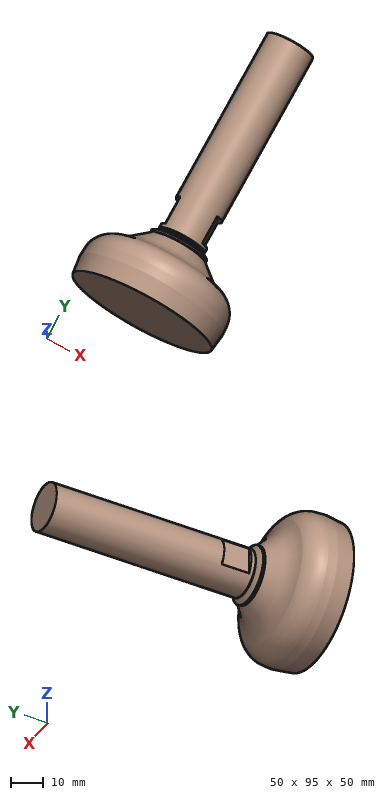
import cadquery as cq

total_length = 95.0

sole_radius = 24.2
rim_radius = 25.0
rim_height = 6.0
dome_start_radius = 24.8
dome_start_height = 9.2
dome_mid_radius = 23.5
dome_mid_height = 12.9
dome_end_radius = 20.2
dome_end_height = 15.8
hollow_mid_radius = 16.1
hollow_mid_height = 17.5
cone_base_radius = 13.4
cone_base_height = 19.6
cone_top_radius = 9.6
foot_height = 22.9

stud_radius = 8.0
stud_start = 25.2
end_chamfer = 0.3
neck_radius = 6.1
flange_base_radius = 9.1
flange_radius = 9.7
flange_edge_height = 23.75
flange_dome_radius = 7.8
flange_dome_height = 24.6
flange_top = 24.9

across_flats = 12.9
flats_start = 26.9
flats_length = 9.5


def revolve_about_y(profile):
    return profile.close().revolve(360, (0, 0, 0), (0, 1, 0))


def make_foot():
    """Round foot with a tapered rim, domed shoulder and conical top."""
    profile = (
        cq.Workplane("XY")
        .lineTo(sole_radius, 0)
        .lineTo(rim_radius, rim_height)
        .lineTo(dome_start_radius, dome_start_height)
        .threePointArc((dome_mid_radius, dome_mid_height), (dome_end_radius, dome_end_height))
        .threePointArc((hollow_mid_radius, hollow_mid_height), (cone_base_radius, cone_base_height))
        .lineTo(cone_top_radius, foot_height)
        .lineTo(0, foot_height)
    )
    return revolve_about_y(profile)


def make_stud_blank():
    """Plain shaft with a narrow neck and a domed flange resting on the foot."""
    profile = (
        cq.Workplane("XY")
        .moveTo(0, foot_height)
        .lineTo(flange_base_radius, foot_height)
        .lineTo(flange_radius, flange_edge_height)
        .threePointArc((flange_dome_radius, flange_dome_height), (neck_radius, flange_top))
        .lineTo(neck_radius, stud_start)
        .lineTo(stud_radius - end_chamfer, stud_start)
        .lineTo(stud_radius, stud_start + end_chamfer)
        .lineTo(stud_radius, total_length)
        .lineTo(0, total_length)
    )
    return revolve_about_y(profile)


def cut_wrench_flats(stud):
    """Cut one flat on each side of the shaft."""
    flats_middle = flats_start + flats_length / 2
    for side in (-1, 1):
        cutter = cq.Workplane("XY").box(stud_radius, flats_length, 2 * stud_radius)
        cutter_x = side * (across_flats + stud_radius) / 2
        stud = stud.cut(cutter.translate((cutter_x, flats_middle, 0)))
    return stud


foot = make_foot()
stud = cut_wrench_flats(make_stud_blank())

result = cq.Compound.makeCompound([foot.val(), stud.val()])